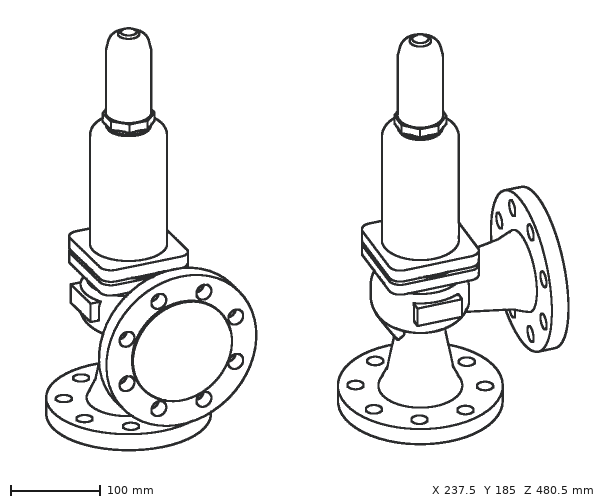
import cadquery as cq
import math

OVERALL_LENGTH = 237.5
OVERALL_HEIGHT = 480.5

FLANGE_DIAMETER = 185.0
FLANGE_RADIUS = FLANGE_DIAMETER / 2
FLANGE_THICKNESS = 20.0
RAISED_FACE_RADIUS = 61.0
RAISED_FACE_HEIGHT = 3.0
FLANGE_STACK = FLANGE_THICKNESS + RAISED_FACE_HEIGHT
BOLT_CIRCLE_RADIUS = 72.5
BOLT_HOLE_RADIUS = 9.0
BOLT_COUNT = 8
HUB_RADIUS = 47.0

INLET_HUB_TOP = 43.7
INLET_NECK_RADIUS = 37.5
THROAT_Z = 91.0
THROAT_FILLET_MID = (30.5, 106.0)
THROAT_RADIUS = 29.0

BULB_RADIUS = 56.0
BULB_BOTTOM_RADIUS = 42.0
BULB_BOTTOM_Z = 118.3
BULB_WALL_BOTTOM_Z = 140.0
BULB_LOWER_MID = (51.0, 126.5)
BULB_WALL_TOP_Z = 156.0
BULB_TOP_Z = 173.0
COLLAR_RADIUS = 44.0
COLLAR_FILLET = 3.0
COLLAR_TOP_Z = 180.7
COLLAR_NECK_RADIUS = 43.0

OUTLET_Z = 146.0
OUTLET_FACE_X = OVERALL_LENGTH - FLANGE_RADIUS
OUTLET_HUB_X = 104.0
OUTLET_NECK_RADIUS = 40.5
OUTLET_ROOT_X = 38.5
OUTLET_ROOT_RADIUS = 31.0

PLATE_SIDE = 107.0
PLATE_CORNER_RADIUS = 13.5
LOWER_PLATE_Z = 183.5
LOWER_PLATE_THICKNESS = 13.0
SEAT_RADIUS = 50.0
SEAT_THICKNESS = 1.5
SPIGOT_RADIUS = 47.0
SPIGOT_THICKNESS = 3.0
UPPER_PLATE_THICKNESS = 14.5
SEAT_Z = LOWER_PLATE_Z + LOWER_PLATE_THICKNESS
SPIGOT_Z = SEAT_Z + SEAT_THICKNESS
UPPER_PLATE_Z = SPIGOT_Z + SPIGOT_THICKNESS
BONNET_Z = UPPER_PLATE_Z + UPPER_PLATE_THICKNESS

BONNET_RADIUS = 43.5
BONNET_TOP_Z = 362.0
BONNET_FILLET = 10.5
CAP_RADIUS = 25.5
CAP_NECK_RADIUS = 24.0
CAP_NECK_HEIGHT = 2.5
NUT_Z = 368.5
NUT_HEIGHT = 10.5
NUT_ACROSS_FLATS = 54.0
NUT_SIDES = 8
CAP_SHOULDER_Z = 457.5
CAP_DOME_Z = 468.0
CAP_DOME_RADIUS = 23.0
CAP_TOP_Z = 478.0
CAP_TOP_RADIUS = 12.0
BUTTON_RADIUS = 9.0

PAD_WIDTH = 54.0
PAD_HEIGHT = 23.0
PAD_BOTTOM_Z = 142.0
PAD_REACH = 59.0

BOSS_RADIUS = 19.5
BOSS_TILT = 34.0
BOSS_FACE_X = -40.5
BOSS_FACE_Z = 110.0
BOSS_LENGTH = 33.5


def cylinder(radius, bottom, height):
    """Upright cylinder on the Z axis."""
    return cq.Workplane("XY").workplane(offset=bottom).circle(radius).extrude(height)


def pipe_flange():
    """Flange lying on z = 0 with its raised face down and bolt holes straddling the axes."""
    disc = cylinder(FLANGE_RADIUS, RAISED_FACE_HEIGHT, FLANGE_THICKNESS)
    holes = (
        cq.Workplane("XY")
        .polarArray(BOLT_CIRCLE_RADIUS, 180.0 / BOLT_COUNT, 360, BOLT_COUNT)
        .circle(BOLT_HOLE_RADIUS)
        .extrude(FLANGE_STACK)
    )
    return disc.cut(holes).union(cylinder(RAISED_FACE_RADIUS, 0, FLANGE_STACK))


def inlet_and_bulb():
    """Inlet hub, tapered neck and rounded body bulb as one turned shape."""
    profile = (
        cq.Workplane("XZ")
        .moveTo(0, RAISED_FACE_HEIGHT)
        .lineTo(HUB_RADIUS, RAISED_FACE_HEIGHT)
        .lineTo(HUB_RADIUS, FLANGE_STACK)
        .lineTo(INLET_NECK_RADIUS, INLET_HUB_TOP)
        .lineTo(THROAT_RADIUS, THROAT_Z)
        .threePointArc(THROAT_FILLET_MID, (BULB_BOTTOM_RADIUS, BULB_BOTTOM_Z))
        .threePointArc(BULB_LOWER_MID, (BULB_RADIUS, BULB_WALL_BOTTOM_Z))
        .lineTo(BULB_RADIUS, BULB_WALL_TOP_Z)
        .tangentArcPoint((COLLAR_RADIUS + COLLAR_FILLET, BULB_TOP_Z), relative=False)
        .radiusArc((COLLAR_RADIUS, BULB_TOP_Z + COLLAR_FILLET), COLLAR_FILLET)
        .lineTo(COLLAR_RADIUS, COLLAR_TOP_Z)
        .lineTo(COLLAR_NECK_RADIUS, COLLAR_TOP_Z)
        .lineTo(COLLAR_NECK_RADIUS, LOWER_PLATE_Z)
        .lineTo(0, LOWER_PLATE_Z)
        .close()
    )
    return profile.revolve(360, (0, 0, 0), (0, 1, 0))


def outlet():
    """Flanged outlet nozzle widening from the bulb toward +X."""
    nozzle = (
        cq.Workplane("XZ")
        .moveTo(0, 0)
        .lineTo(HUB_RADIUS, 0)
        .lineTo(HUB_RADIUS, FLANGE_STACK)
        .lineTo(OUTLET_NECK_RADIUS, OUTLET_FACE_X - OUTLET_HUB_X)
        .lineTo(OUTLET_ROOT_RADIUS, OUTLET_FACE_X - OUTLET_ROOT_X)
        .lineTo(0, OUTLET_FACE_X - OUTLET_ROOT_X)
        .close()
        .revolve(360, (0, 0, 0), (0, 1, 0))
    )
    return (
        pipe_flange()
        .union(nozzle)
        .rotate((0, 0, 0), (0, 1, 0), -90)
        .translate((OUTLET_FACE_X, 0, OUTLET_Z))
    )


def square_plate(bottom, thickness):
    """Square plate with rounded upright corners."""
    return (
        cq.Workplane("XY")
        .workplane(offset=bottom)
        .rect(PLATE_SIDE, PLATE_SIDE)
        .extrude(thickness)
        .edges("|Z")
        .fillet(PLATE_CORNER_RADIUS)
    )


def bonnet():
    """Tall spring bonnet with a rounded top edge."""
    shell = cylinder(BONNET_RADIUS, BONNET_Z, BONNET_TOP_Z - BONNET_Z)
    return shell.faces(">Z").edges().fillet(BONNET_FILLET)


def cap():
    """Turned cap with a domed top and a small button."""
    return (
        cq.Workplane("XZ")
        .moveTo(0, BONNET_TOP_Z)
        .lineTo(CAP_NECK_RADIUS, BONNET_TOP_Z)
        .lineTo(CAP_NECK_RADIUS, BONNET_TOP_Z + CAP_NECK_HEIGHT)
        .lineTo(CAP_RADIUS, BONNET_TOP_Z + CAP_NECK_HEIGHT)
        .lineTo(CAP_RADIUS, CAP_SHOULDER_Z)
        .lineTo(CAP_DOME_RADIUS, CAP_DOME_Z)
        .tangentArcPoint((CAP_TOP_RADIUS, CAP_TOP_Z), relative=False)
        .lineTo(BUTTON_RADIUS, OVERALL_HEIGHT)
        .lineTo(0, OVERALL_HEIGHT)
        .close()
        .revolve(360, (0, 0, 0), (0, 1, 0))
    )


def cap_nut():
    """Octagonal wrench ring with flats square to X and Y."""
    return (
        cq.Workplane("XY")
        .polygon(NUT_SIDES, NUT_ACROSS_FLATS, circumscribed=True)
        .extrude(NUT_HEIGHT)
        .translate((0, 0, NUT_Z))
    )


def name_pad():
    """Flat pad standing out of the bulb toward -Y."""
    pad = cq.Workplane("XY").box(PAD_WIDTH, PAD_REACH, PAD_HEIGHT, centered=(True, False, False))
    return pad.translate((0, -PAD_REACH, PAD_BOTTOM_Z))


def drain_boss():
    """Plain round boss whose flat face looks outward and down."""
    tilt = math.radians(BOSS_TILT)
    inward = (math.cos(tilt), 0, math.sin(tilt))
    face = cq.Plane(origin=(BOSS_FACE_X, 0, BOSS_FACE_Z), xDir=(0, 1, 0), normal=inward)
    return cq.Workplane(face).circle(BOSS_RADIUS).extrude(BOSS_LENGTH)


result = (
    inlet_and_bulb()
    .union(pipe_flange())
    .union(outlet())
    .union(name_pad())
    .union(drain_boss())
    .union(square_plate(LOWER_PLATE_Z, LOWER_PLATE_THICKNESS))
    .union(cylinder(SEAT_RADIUS, SEAT_Z, SEAT_THICKNESS))
    .union(cylinder(SPIGOT_RADIUS, SPIGOT_Z, SPIGOT_THICKNESS))
    .union(square_plate(UPPER_PLATE_Z, UPPER_PLATE_THICKNESS))
    .union(bonnet())
    .union(cap())
    .union(cap_nut())
)